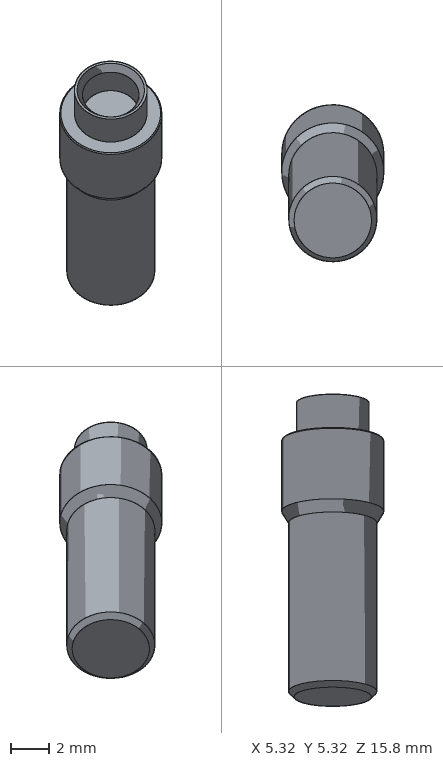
import cadquery as cq

length = 15.8
neck_height = 1.98
head_height = 3.85
taper_height = 0.62

neck_diameter = 3.79
head_diameter = 5.32
shank_diameter = 4.6

head_chamfer = 0.06
tip_chamfer = 0.28

bore_diameter = 2.94
bore_depth = 1.98
mouth_diameter = 3.5
mouth_depth = 0.4

shoulder_z = length - neck_height
taper_top_z = shoulder_z - head_height
taper_bottom_z = taper_top_z - taper_height


def turned_body():
    """Revolve the stepped outside profile about the Z axis."""
    neck_radius = neck_diameter / 2
    head_radius = head_diameter / 2
    shank_radius = shank_diameter / 2
    return (
        cq.Workplane("XZ")
        .lineTo(shank_radius - tip_chamfer, 0)
        .lineTo(shank_radius, tip_chamfer)
        .lineTo(shank_radius, taper_bottom_z)
        .lineTo(head_radius, taper_top_z)
        .lineTo(head_radius, shoulder_z - head_chamfer)
        .lineTo(head_radius - head_chamfer, shoulder_z)
        .lineTo(neck_radius, shoulder_z)
        .lineTo(neck_radius, length)
        .lineTo(0, length)
        .close()
        .revolve(360, (0, 0, 0), (0, 1, 0))
    )


def bore_space():
    """Flat-bottomed bore that widens to the mouth at the top face."""
    bore_radius = bore_diameter / 2
    bore_floor_z = length - bore_depth
    return (
        cq.Workplane("XZ")
        .moveTo(0, bore_floor_z)
        .lineTo(bore_radius, bore_floor_z)
        .lineTo(bore_radius, length - mouth_depth)
        .lineTo(mouth_diameter / 2, length)
        .lineTo(0, length)
        .close()
        .revolve(360, (0, 0, 0), (0, 1, 0))
    )


result = turned_body().cut(bore_space())